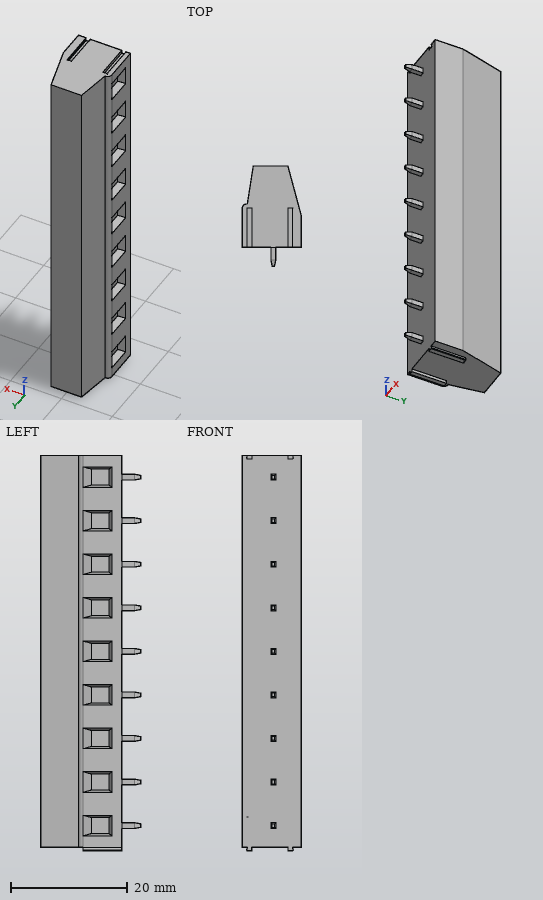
import cadquery as cq

total_height = 68.1
total_depth = 17.3
housing_width = 10.2
pole_count = 9

pin_length = 3.3
housing_depth = total_depth - pin_length
crown_left = 1.9
crown_right = 7.9
shoulder_x = 0.9
shoulder_radius = 0.8
shoulder_y = 7.5
right_slope_start_y = 5.45

rib_height = 0.6
rib_length = 6.75
rib_width = 0.8
rib_flare = 0.1
rib_ridge_depth = 0.5
left_rib_x = 0.9
right_rib_x = 7.9

housing_height = total_height - rib_height
pole_pitch = housing_height / pole_count

pocket_bottom_y = 1.7
pocket_top_y = shoulder_y - shoulder_radius
pocket_height = 3.55
pocket_depth = 1.3
floor_bottom_y = 2.25
floor_top_y = 5.25
floor_height = 2.7

pin_x = 5.4
pin_width = 0.9
pin_thickness = 1.0
tip_length = 1.1
tip_width = 0.4
tip_thickness = 0.6


def housing():
    return (
        cq.Workplane("XY")
        .moveTo(0, 0)
        .lineTo(housing_width, 0)
        .lineTo(housing_width, right_slope_start_y)
        .lineTo(crown_right, housing_depth)
        .lineTo(crown_left, housing_depth)
        .lineTo(shoulder_x, shoulder_y)
        .lineTo(shoulder_radius, shoulder_y)
        .radiusArc((0, shoulder_y - shoulder_radius), -shoulder_radius)
        .close()
        .extrude(housing_height)
    )


def rib_pair(base_z):
    """Two ribs hanging below base_z, each with a low ridge along its outer flank."""
    ridge_z = base_z - rib_ridge_depth
    tip_z = base_z - rib_height
    left_end = left_rib_x + rib_width
    right_end = right_rib_x + rib_width
    left_outline = [
        (left_rib_x, base_z),
        (left_end, base_z),
        (left_end, tip_z),
        (left_rib_x, tip_z),
        (left_rib_x - rib_flare, ridge_z),
    ]
    right_outline = [
        (right_rib_x, base_z),
        (right_end, base_z),
        (right_end + rib_flare, ridge_z),
        (right_end, tip_z),
        (right_rib_x, tip_z),
    ]
    left_rib = cq.Workplane("XZ").polyline(left_outline).close().extrude(-rib_length)
    right_rib = cq.Workplane("XZ").polyline(right_outline).close().extrude(-rib_length)
    return left_rib.union(right_rib)


def wire_pocket(center_z):
    """Pocket narrowing from its mouth on the -X face to a smaller flat floor."""
    mouth_center_y = (pocket_bottom_y + pocket_top_y) / 2
    floor_center_y = (floor_bottom_y + floor_top_y) / 2
    return (
        cq.Workplane("YZ")
        .center(mouth_center_y, center_z)
        .rect(pocket_top_y - pocket_bottom_y, pocket_height)
        .workplane(offset=pocket_depth)
        .center(floor_center_y - mouth_center_y, 0)
        .rect(floor_top_y - floor_bottom_y, floor_height)
        .loft(ruled=True)
    )


def pin(center_z):
    """Rectangular pin with a tapered tip, starting on the pin face."""
    shank_length = pin_length - tip_length
    shank = (
        cq.Workplane("XZ")
        .center(pin_x, center_z)
        .rect(pin_width, pin_thickness)
        .extrude(shank_length)
    )
    tip = (
        cq.Workplane("XZ", origin=(pin_x, -shank_length, center_z))
        .rect(pin_width, pin_thickness)
        .workplane(offset=tip_length)
        .rect(tip_width, tip_thickness)
        .loft(ruled=True)
    )
    return shank.union(tip)


result = housing().cut(rib_pair(housing_height)).union(rib_pair(0))

for pole in range(pole_count):
    pole_z = (pole + 0.5) * pole_pitch
    result = result.cut(wire_pocket(pole_z)).union(pin(pole_z))